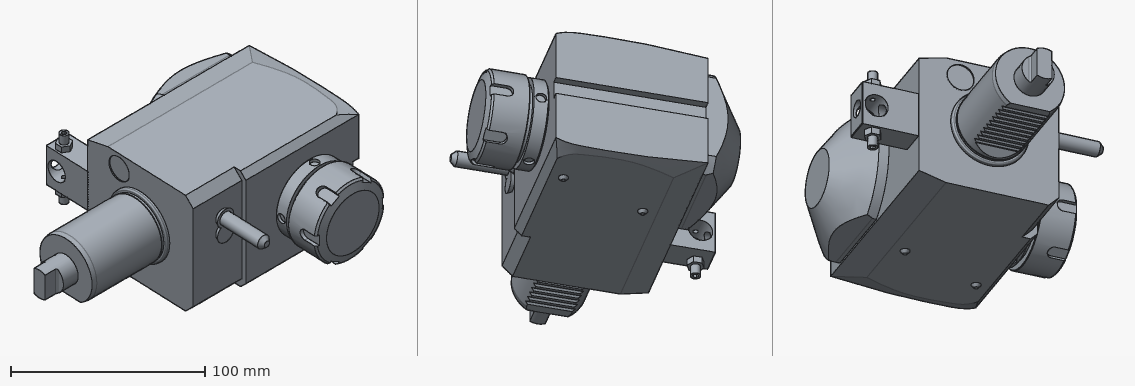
import cadquery as cq
import math


body_left = -39.3
body_right = 42.0
body_depth = 115.6
body_half_height = 37.5
bevel_width = 15.0
bevel_drop = 3.8
corner_chamfer = 4.0

step_depth = 34.8
step_right = 39.0
step_chamfer = 5.6

crown_middle_x = 11.3
crown_flank = 14.0
crown_flank_drop = 1.07
crown_shoulder_drop = 2.5
crown_slope = 0.2

back_slot_height = 10.2
back_slot_depth = 4.1
plug_x = -16.0
plug_z = 27.6
plug_radius = 7.5
plug_recess = 0.8

stud_places = [(-16.5, 71.5), (30.5, 88.4)]
stud_radius = 2.6
stud_tip_radius = 1.1
stud_height = 1.7

spindle_y = 79.7
cap_radius = 40.2
cap_tip_radius = 15.8
cap_rim_x = -45.0
cap_tip_x = -62.2
cap_back_y = 111.1
cap_half_height = 32.3
cap_taper_x = -41.5
cap_taper_angle = 15

collar_radius = 22.7
ring_radius = 23.9
ring_start = 42.7
ring_end = 50.2
neck_radius = 20.7
nut_radius = 25.0
nut_start = 52.6
nut_rim_x = 71.8
nut_shoulder_x = 73.0
nut_shoulder_radius = 23.9
nut_face_x = 74.6
nut_face_radius = 18.8
nut_edge = 0.4
dimple_radius = 2.8
dimple_depth = 1.9
dimple_count = 4
nut_slot_count = 6
nut_slot_width = 6.5
nut_slot_start = 61.5
nut_slot_depth = 2.5

shank_radius = 20.0
shank_length = 53.4
flange_radius = 21.6
flange_length = 2.3
flange_round = 1.0
undercut_radius = 19.5
undercut_end = 4.0
tip_radius = 19.4
tip_length = 2.8
flat_z = -16.0
flat_start = 10.0
tooth_pitch = 4.0
tooth_depth = 1.1
tooth_first = 11.8
tooth_count = 10

drive_radius = 9.0
drive_shoulder = 64.0
drive_tip = 72.4
tang_width = 8.3
tang_fillet = 1.0

pin_y = 20.9
pin_z = 16.0
pin_radius = 4.1
pin_end = 72.0
pin_taper = 2.6
pin_tip_radius = 1.9
seat_root_radius = 4.7
seat_rim_radius = 5.8
seat_end = 41.4
lower_seat_z = 6.4

block_left = -70.9
block_front = 0.5
block_back = 15.8
block_half_height = 12.6
block_edge = 0.4
block_bore_x = -62.8
block_bore_radius = 6.4
side_bore_y = 7.5
side_bore_radius = 4.7
side_bore_floor_x = -52.6
pilot_radius = 1.3
pilot_depth = 1.9
vent_depth = 1.9
screw_y = 5.8
screw_radius = 2.6
screw_top = 22.2
screw_sunk = 3.8
hex_top = 16.4
hex_across_corners = 9.2
socket_across_corners = 3.0
socket_depth = 1.9

overlap = 1.9


def box(x0, x1, y0, y1, z0, z1):
    """Box between opposite corners."""
    return cq.Workplane("XY").box(x1 - x0, y1 - y0, z1 - z0, centered=False).translate((x0, y0, z0))


def turned_x(profile, y, z):
    """Solid turned about an X-directed axis from (x, radius) points."""
    outline = cq.Workplane("XY").polyline(profile).close()
    return outline.revolve(360, (0, 0, 0), (1, 0, 0)).translate((0, y, z))


def rod(x, y, z, direction, radius, length):
    """Cylinder starting at a point and running along a direction."""
    return cq.Workplane(cq.Solid.makeCylinder(radius, length, cq.Vector(x, y, z), cq.Vector(*direction)))


def prism_y(points, y0, y1):
    """Outline of (x, z) points extruded from y0 to y1."""
    return cq.Workplane("XZ", origin=(0, y0, 0)).polyline(points).close().extrude(y0 - y1)


def body_section(right, chamfer, y0, y1):
    top = body_half_height
    half = [
        (body_left, top - bevel_drop),
        (body_left + bevel_width, top),
        (right - chamfer, top),
        (right, top - chamfer),
    ]
    mirrored = [(x, -z) for x, z in reversed(half)]
    return prism_y(half + mirrored, y0, y1)


def rear_crown_cutter():
    """Removes what lies above a crowned surface sloping up towards the front."""
    top = body_half_height
    crown = [
        (body_left, top - bevel_drop),
        (body_left + bevel_width, top - crown_shoulder_drop),
        (crown_middle_x - crown_flank, top - crown_flank_drop),
        (crown_middle_x + crown_flank, top - crown_flank_drop),
        (body_right - corner_chamfer, top - crown_shoulder_drop),
        (body_right, top - corner_chamfer),
    ]
    reach = body_depth / 2
    rise = reach * crown_slope
    cover = top + overlap
    outline = (
        cq.Workplane("XZ", origin=(0, body_depth, 0))
        .spline(crown)
        .lineTo(body_right, cover)
        .lineTo(body_left, cover)
        .close()
    )
    slope = cq.Vector(0, -reach, rise)
    wire = outline.wires().val()
    return cq.Workplane(cq.Solid.extrudeLinear(wire, [], slope))


def make_body():
    body = body_section(step_right, step_chamfer, 0, body_depth / 2)
    body = body.union(body_section(body_right, corner_chamfer, step_depth, body_depth))
    crown = rear_crown_cutter()
    body = body.cut(crown).cut(crown.mirror("XY"))
    slot_half = back_slot_height / 2
    slot_bottom = body_depth - back_slot_depth
    body = body.cut(box(body_left, body_right, slot_bottom, body_depth, -slot_half, slot_half))
    body = body.cut(rod(plug_x, 0, plug_z, (0, 1, 0), plug_radius, plug_recess))
    for x, y in stud_places:
        foot = cq.Vector(x, y, -body_half_height)
        stud = cq.Solid.makeCone(stud_radius, stud_tip_radius, stud_height, foot, cq.Vector(0, 0, -1))
        body = body.union(cq.Workplane(stud))
    return body


def make_cap():
    cone = turned_x(
        [
            (body_left, 0),
            (cap_tip_x, 0),
            (cap_tip_x, cap_tip_radius),
            (cap_rim_x, cap_radius),
            (body_left, cap_radius),
        ],
        spindle_y,
        0,
    )
    taper_drop = (cap_taper_x - cap_tip_x) * math.tan(math.radians(cap_taper_angle))
    half = [
        (cap_tip_x, cap_half_height - taper_drop),
        (cap_taper_x, cap_half_height),
        (body_left, cap_half_height),
    ]
    mirrored = [(x, -z) for x, z in reversed(half)]
    return cone.intersect(prism_y(half + mirrored, spindle_y - cap_radius, cap_back_y))


def make_collet_nut():
    nut = turned_x(
        [
            (body_right, 0),
            (body_right, collar_radius),
            (ring_start, collar_radius),
            (ring_start, ring_radius),
            (ring_end, ring_radius),
            (ring_end, neck_radius),
            (nut_start, neck_radius),
            (nut_start, nut_radius - nut_edge),
            (nut_start + nut_edge, nut_radius),
            (nut_rim_x, nut_radius),
            (nut_shoulder_x, nut_shoulder_radius),
            (nut_face_x, nut_face_radius),
            (nut_face_x, 0),
        ],
        0,
        0,
    )
    dimple_x = (ring_start + ring_end) / 2
    dimple = rod(dimple_x, 0, ring_radius - dimple_depth, (0, 0, 1), dimple_radius, dimple_depth + overlap)
    for i in range(dimple_count):
        nut = nut.cut(dimple.rotate((0, 0, 0), (1, 0, 0), i * 360 / dimple_count))
    slot_floor = nut_radius - nut_slot_depth
    slot_top = nut_radius + overlap
    half = nut_slot_width / 2
    slot_end = rod(nut_slot_start + half, 0, slot_floor, (0, 0, 1), half, slot_top - slot_floor)
    slot = box(nut_slot_start + half, nut_face_x, -half, half, slot_floor, slot_top).union(slot_end)
    for i in range(nut_slot_count):
        angle = 90 + i * 360 / nut_slot_count
        nut = nut.cut(slot.rotate((0, 0, 0), (1, 0, 0), angle))
    return nut.translate((0, spindle_y, 0))


def make_shank():
    shank = (
        cq.Workplane("XY")
        .lineTo(flange_radius, 0)
        .lineTo(flange_radius, -flange_length + flange_round)
        .radiusArc((flange_radius - flange_round, -flange_length), flange_round)
        .polyline(
            [
                (undercut_radius, -flange_length),
                (undercut_radius, -undercut_end),
                (shank_radius, -undercut_end),
                (shank_radius, tip_length - shank_length),
                (tip_radius, -shank_length),
                (0, -shank_length),
            ],
            includeCurrent=True,
        )
        .close()
        .revolve(360, (0, 0, 0), (0, 1, 0))
    )
    ramp_height = flange_radius + flat_z
    rack = (
        cq.Workplane("YZ")
        .moveTo(-flat_start + ramp_height, -flange_radius)
        .lineTo(-flat_start, flat_z)
    )
    for i in range(tooth_count):
        y = -tooth_first - i * tooth_pitch
        rack = rack.lineTo(y + tooth_depth, flat_z)
        rack = rack.lineTo(y, flat_z + tooth_depth)
        rack = rack.lineTo(y - tooth_depth, flat_z)
    rack = rack.lineTo(-shank_length, flat_z).lineTo(-shank_length, -flange_radius).close()
    return shank.cut(rack.extrude(shank_radius, both=True))


def make_drive():
    drive = rod(0, -shank_length, 0, (0, -1, 0), drive_radius, drive_tip - shank_length)
    half = tang_width / 2
    for side in (1, -1):
        relief = box(half, 2 * drive_radius, -drive_tip, -drive_shoulder, -drive_radius, drive_radius)
        relief = relief.edges("<X and >Y").fillet(tang_fillet)
        if side < 0:
            relief = relief.mirror("YZ")
        drive = drive.cut(relief)
    return drive


def flared_seat(z):
    """Cone that widens away from the stepped side face."""
    return turned_x(
        [
            (step_right, 0),
            (step_right, seat_root_radius),
            (seat_end, seat_rim_radius),
            (seat_end, 0),
        ],
        pin_y,
        z,
    )


def make_pin():
    pin = turned_x(
        [
            (step_right, 0),
            (step_right, pin_radius),
            (pin_end - pin_taper, pin_radius),
            (pin_end, pin_tip_radius),
            (pin_end, 0),
        ],
        pin_y,
        pin_z,
    )
    return pin.union(flared_seat(pin_z)).union(flared_seat(lower_seat_z))


def make_coolant_block():
    block = box(block_left, body_left, block_front, block_back, -block_half_height, block_half_height)
    block = block.faces("<X").edges().chamfer(block_edge)
    block = block.cut(
        rod(block_bore_x, block_front, 0, (0, 1, 0), block_bore_radius, block_back - block_front)
    )
    block = block.cut(
        rod(block_left, side_bore_y, 0, (1, 0, 0), side_bore_radius, side_bore_floor_x - block_left)
    )
    block = block.cut(rod(side_bore_floor_x, side_bore_y, 0, (1, 0, 0), pilot_radius, pilot_depth))
    vent_reach = block_bore_radius + vent_depth
    block = block.cut(rod(block_bore_x, screw_y, -vent_reach, (0, 0, 1), pilot_radius, 2 * vent_reach))

    screw_root = block_half_height - screw_sunk
    screw = rod(block_bore_x, screw_y, screw_root, (0, 0, 1), screw_radius, screw_top - screw_root)
    hex_nut = (
        cq.Workplane("XY", origin=(block_bore_x, screw_y, block_half_height))
        .polygon(6, hex_across_corners)
        .extrude(hex_top - block_half_height)
    )
    socket = (
        cq.Workplane("XY", origin=(block_bore_x, screw_y, screw_top))
        .polygon(6, socket_across_corners)
        .extrude(-socket_depth)
    )
    fastener = screw.union(hex_nut).cut(socket)
    return block.union(fastener).union(fastener.mirror("XY"))


result = (
    make_body()
    .union(make_cap())
    .union(make_collet_nut())
    .union(make_shank())
    .union(make_drive())
    .union(make_pin())
    .union(make_coolant_block())
)